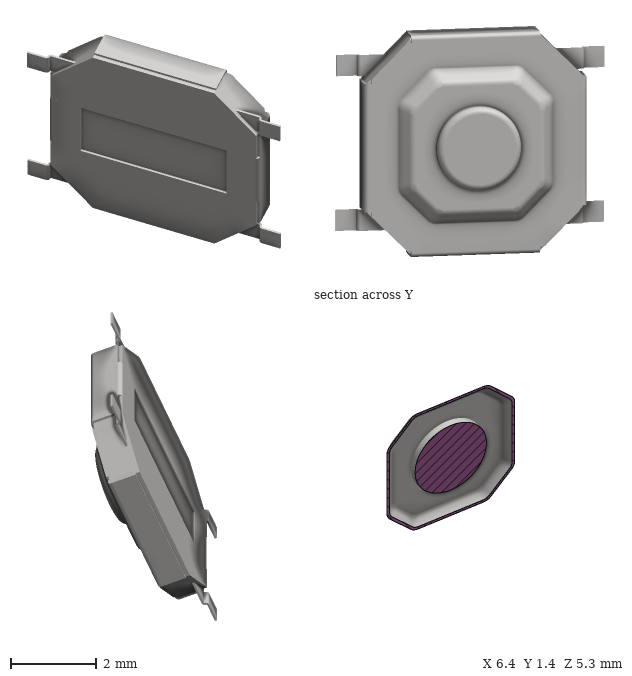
import cadquery as cq
import math


total_height = 1.4
cover_height = 0.805
emboss_top = 1.1

sheet = 0.06
bend_radius = 0.1
inner_bend_radius = bend_radius - sheet
cover_width = 5.3
flange_width = 3.07
plate_width = 4.965
tab_width = 1.485
tab_gap = 3.685

base_width = cover_width - 2 * sheet
base_height = cover_height - sheet

emboss_rise = emboss_top - cover_height
emboss_taper = 45
octagon_half_turn = math.radians(22.5)
emboss_width = 3.7
emboss_flat = 2.125
emboss_corner_radius = 0.435
emboss_top_radius = 0.2
emboss_foot_radius = 0.06

button_radius = 1.0
button_fillet = 0.15

strip_thickness = 0.05
strip_width = 0.5
strip_length = 6.39
strip_place = 1.85
strip_shift = 0.005
strip_rise = 0.1
joggle_place = 2.675


def block(width_x, y_low, y_high, length_z):
    """Box centred on the Y axis, from y_low to y_high."""
    return cq.Workplane("XY").box(width_x, y_high - y_low, length_z).translate((0, (y_low + y_high) / 2, 0))


def octagon(width, flat):
    """Octagon in the XZ plane: width across the main sides, which are flat long."""
    side = width / 2
    corner = flat / 2
    points = [
        (corner, side), (side, corner), (side, -corner), (corner, -side),
        (-corner, -side), (-side, -corner), (-side, corner), (-corner, side),
    ]
    return cq.Workplane("XZ").polyline(points).close()


def octagon_prism(width, flat, y_low, y_high):
    return octagon(width, flat).extrude(y_low - y_high).translate((0, y_low, 0))


def quarter_turn(body):
    return body.rotate((0, 0, 0), (0, 1, 0), 90)


def sheet_hoop_core(length):
    """Rounded block that a bent strap of the cover closes around."""
    return block(base_width, sheet, base_height, length).edges("|Z").fillet(inner_bend_radius)


def joggled_end():
    """Right half of a strip profile: raised flat, two quarter bends down, foot on the mounting plane."""
    mean_radius = strip_rise / 2
    inner = mean_radius - strip_thickness / 2
    outer = mean_radius + strip_thickness / 2
    bend_y = outer
    upper_x = joggle_place - mean_radius
    lower_x = joggle_place + mean_radius
    diagonal = math.sqrt(0.5)
    end = strip_length / 2
    return (
        cq.Workplane("XY")
        .moveTo(0, bend_y + inner)
        .lineTo(upper_x, bend_y + inner)
        .threePointArc((upper_x + inner * diagonal, bend_y + inner * diagonal), (upper_x + inner, bend_y))
        .threePointArc((lower_x - outer * diagonal, bend_y - outer * diagonal), (lower_x, 0))
        .lineTo(end, 0)
        .lineTo(end, strip_thickness)
        .lineTo(lower_x, strip_thickness)
        .threePointArc((lower_x - inner * diagonal, bend_y - inner * diagonal), (lower_x - inner, bend_y))
        .threePointArc((upper_x + outer * diagonal, bend_y + outer * diagonal), (upper_x, bend_y + outer))
        .lineTo(0, bend_y + outer)
        .close()
        .extrude(strip_width / 2, both=True)
    )


def terminal_strip(turn):
    """Strip through the base with a foot at each end; the two strips are half a turn apart about Y."""
    right_end = joggled_end()
    strip = right_end.union(right_end.mirror("YZ")).clean()
    return strip.translate((-strip_shift, 0, strip_place)).rotate((0, 0, 0), (0, 1, 0), turn)


terminals = [terminal_strip(turn) for turn in (0, 180)]


def make_base():
    body = octagon_prism(base_width, flange_width, 0, base_height)
    body = body.faces(">Y").edges("|X or |Z").fillet(inner_bend_radius)
    lower_middle = block(cover_width, 0, base_height / 2, tab_width)
    tab_recess = lower_middle.cut(sheet_hoop_core(tab_width))
    body = body.cut(tab_recess)
    for terminal in terminals:
        body = body.cut(terminal)
    return body


base = make_base()


def make_button():
    """Round button standing on the base and passing through the cover."""
    height = total_height - base_height
    body = cq.Workplane("XZ").circle(button_radius).extrude(-height)
    return body.faces(">Y").edges().fillet(button_fillet).translate((0, base_height, 0))


button = make_button()


def sheet_hoop(length):
    """Closed rounded hoop of sheet around the base, length long in Z."""
    outside = block(cover_width, 0, cover_height, length).edges("|Z").fillet(bend_radius)
    return outside.cut(sheet_hoop_core(length))


def flange_pair():
    """Strap across the top with a flange bent down at each X end."""
    return sheet_hoop(flange_width).cut(block(cover_width, 0, bend_radius, flange_width))


def tab_strap():
    """Strap whose ends are folded in under the base as holding tabs."""
    return sheet_hoop(tab_width).cut(block(tab_gap, 0, base_height / 2, tab_width))


def emboss(inset, foot_y):
    """Raised octagon with rounded corners; inset shrinks the foot and the radii for the inner face."""
    shrink = 2 * inset * math.tan(math.radians(emboss_taper / 2))
    flat = emboss_flat - shrink * math.tan(octagon_half_turn)
    raised = octagon(emboss_width - shrink, flat).extrude(-emboss_rise, taper=emboss_taper)
    raised = raised.edges("not #Y").fillet(emboss_corner_radius - inset)
    raised = raised.faces(">Y").edges().fillet(emboss_top_radius - inset)
    return raised.translate((0, foot_y, 0))


def make_cover():
    plate_flat = base_width + flange_width - plate_width
    plate = octagon_prism(plate_width, plate_flat, base_height, cover_height)
    body = plate.union(flange_pair()).union(quarter_turn(flange_pair())).union(tab_strap()).clean()
    body = body.union(emboss(0, cover_height))
    reach = emboss_width / 2 + sheet
    near_foot = cq.selectors.BoxSelector(
        (-reach, cover_height - sheet / 2, -reach),
        (reach, cover_height + sheet / 2, reach),
    )
    body = body.edges(near_foot).fillet(emboss_foot_radius)
    body = body.cut(emboss(sheet, base_height))
    return body.cut(button)


cover = make_cover()

result = cq.Compound.makeCompound(
    [base.val(), cover.val(), button.val()] + [terminal.val() for terminal in terminals]
)